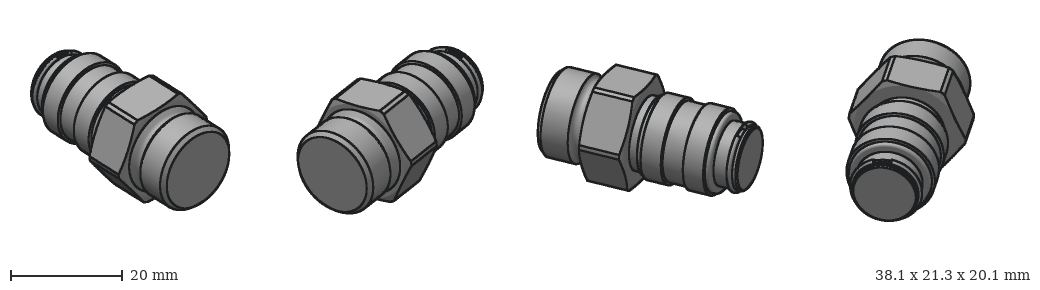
import cadquery as cq
import math

OVERALL_LENGTH = 38.15
GROOVE_START_X = 0.95
SHOULDER_X = 4.55
BAND_STARTS = (5.57, 13.8)
BAND_WIDTH = 4.25
COLLAR_END_X = 19.0
HEX_START_X = 20.6
HEX_WIDTH = 8.55
RELIEF_CENTER_X = 30.75
END_CHAMFER_LENGTH = 0.9

NOSE_LIP_DIAMETER = 12.0
NOSE_DIAMETER = 12.15
NOSE_FACE_DIAMETER = 11.4
SLEEVE_DIAMETER = 15.1
SLEEVE_EDGE_RADIUS = 0.5
NECK_DIAMETER = 14.0
BAND_DIAMETER = 16.15
THREAD_DIAMETER = 16.67
THREAD_END_DIAMETER = 15.1
RELIEF_FLOOR_DIAMETER = 14.6
RELIEF_RADIUS = 1.05

RING_WIDTH = 1.03
RING_OUTER_DIAMETER = 13.12
GROOVE_FLOOR_DIAMETER = 11.15
RING_GAP_ANGLE = 30.0
RING_GAP_CENTER = 83.7

HEX_ACROSS_FLATS = 19.0
HEX_CORNER_DIAMETER = 21.4
HEX_FACE_DIAMETER = 18.95
HEX_CHAMFER_LENGTH = 0.4
HEX_TILT = 7.2

BAND_TAPER = 75.0
RELIEF_ENTRY_ANGLE = 45.0
RELIEF_EXIT_ANGLE = 60.0

NOSE_RADIUS = NOSE_DIAMETER / 2
SLEEVE_RADIUS = SLEEVE_DIAMETER / 2
NECK_RADIUS = NECK_DIAMETER / 2
BAND_RADIUS = BAND_DIAMETER / 2
THREAD_RADIUS = THREAD_DIAMETER / 2
HEX_END_X = HEX_START_X + HEX_WIDTH


def revolve_about_x(profile):
    """Revolve a closed half profile, drawn in XY, fully around the X axis."""
    return profile.close().revolve(360, (0, 0, 0), (1, 0, 0))


def point_on_circle(center, radius, angle):
    """Point on a circle at an angle measured from +X."""
    turn = math.radians(angle)
    return (center[0] + radius * math.cos(turn), center[1] + radius * math.sin(turn))


def make_nose():
    """Nose with a chamfered lip, the ring groove and a plain stretch up to the sleeve."""
    lip_radius = NOSE_LIP_DIAMETER / 2
    face_radius = NOSE_FACE_DIAMETER / 2
    chamfer = lip_radius - face_radius
    floor_radius = GROOVE_FLOOR_DIAMETER / 2
    groove_end_x = GROOVE_START_X + RING_WIDTH
    profile = cq.Workplane("XY").polyline([
        (0, 0),
        (0, face_radius),
        (chamfer, lip_radius),
        (GROOVE_START_X, lip_radius),
        (GROOVE_START_X, floor_radius),
        (groove_end_x, floor_radius),
        (groove_end_x, NOSE_RADIUS),
        (SHOULDER_X, NOSE_RADIUS),
        (SHOULDER_X, 0),
    ])
    return revolve_about_x(profile)


def make_sleeve():
    """Sleeve with rounded ends, followed by the neck up to the hexagon."""
    sleeve = (
        cq.Workplane("YZ", origin=(SHOULDER_X, 0, 0))
        .circle(SLEEVE_RADIUS)
        .extrude(COLLAR_END_X - SHOULDER_X)
        .edges()
        .fillet(SLEEVE_EDGE_RADIUS)
    )
    neck = (
        cq.Workplane("YZ", origin=(COLLAR_END_X, 0, 0))
        .circle(NECK_RADIUS)
        .extrude(HEX_START_X - COLLAR_END_X)
    )
    return sleeve.union(neck)


def make_band(start_x):
    """Raised band with slightly tapered sides."""
    taper = (BAND_RADIUS - SLEEVE_RADIUS) / math.tan(math.radians(BAND_TAPER))
    end_x = start_x + BAND_WIDTH
    profile = cq.Workplane("XY").polyline([
        (start_x, 0),
        (start_x, SLEEVE_RADIUS),
        (start_x + taper, BAND_RADIUS),
        (end_x - taper, BAND_RADIUS),
        (end_x, SLEEVE_RADIUS),
        (end_x, 0),
    ])
    return revolve_about_x(profile)


def make_hexagon():
    """Hexagon with trimmed corners and conical chamfers on both ends."""
    corner_radius = HEX_CORNER_DIAMETER / 2
    face_radius = HEX_FACE_DIAMETER / 2
    across_corners = HEX_ACROSS_FLATS / math.cos(math.radians(30))
    prism = (
        cq.Workplane("YZ", origin=(HEX_START_X, 0, 0))
        .polygon(6, across_corners)
        .extrude(HEX_WIDTH)
        .rotate((0, 0, 0), (1, 0, 0), HEX_TILT)
    )
    envelope = cq.Workplane("XY").polyline([
        (HEX_START_X, 0),
        (HEX_START_X, face_radius),
        (HEX_START_X + HEX_CHAMFER_LENGTH, corner_radius),
        (HEX_END_X - HEX_CHAMFER_LENGTH, corner_radius),
        (HEX_END_X, face_radius),
        (HEX_END_X, 0),
    ])
    return prism.intersect(revolve_about_x(envelope))


def make_threaded_end():
    """Cone behind the hexagon, concave relief and chamfered thread cylinder."""
    arc_center = (RELIEF_CENTER_X, RELIEF_FLOOR_DIAMETER / 2 + RELIEF_RADIUS)
    arc_start = point_on_circle(arc_center, RELIEF_RADIUS, 270 - RELIEF_ENTRY_ANGLE)
    arc_bottom = point_on_circle(arc_center, RELIEF_RADIUS, 270)
    arc_end = point_on_circle(arc_center, RELIEF_RADIUS, 270 + RELIEF_EXIT_ANGLE)
    entry_rise = (arc_start[0] - HEX_END_X) * math.tan(math.radians(RELIEF_ENTRY_ANGLE))
    exit_run = (THREAD_RADIUS - arc_end[1]) / math.tan(math.radians(RELIEF_EXIT_ANGLE))
    profile = (
        cq.Workplane("XY")
        .moveTo(HEX_END_X, 0)
        .lineTo(HEX_END_X, arc_start[1] + entry_rise)
        .lineTo(*arc_start)
        .threePointArc(arc_bottom, arc_end)
        .lineTo(arc_end[0] + exit_run, THREAD_RADIUS)
        .lineTo(OVERALL_LENGTH - END_CHAMFER_LENGTH, THREAD_RADIUS)
        .lineTo(OVERALL_LENGTH, THREAD_END_DIAMETER / 2)
        .lineTo(OVERALL_LENGTH, 0)
    )
    return revolve_about_x(profile)


def make_housing():
    housing = make_nose().union(make_sleeve())
    for start_x in BAND_STARTS:
        housing = housing.union(make_band(start_x))
    return housing.union(make_hexagon()).union(make_threaded_end())


def make_snap_ring():
    """Split ring, turned about the X axis so that its gap is in the right place."""
    inner_radius = GROOVE_FLOOR_DIAMETER / 2
    outer_radius = RING_OUTER_DIAMETER / 2
    arc_foot_radius = outer_radius - RING_WIDTH / 2
    end_x = GROOVE_START_X + RING_WIDTH
    middle_x = GROOVE_START_X + RING_WIDTH / 2
    ring = (
        cq.Workplane("XY")
        .moveTo(GROOVE_START_X, inner_radius)
        .lineTo(GROOVE_START_X, arc_foot_radius)
        .threePointArc((middle_x, outer_radius), (end_x, arc_foot_radius))
        .lineTo(end_x, inner_radius)
        .close()
        .revolve(360 - RING_GAP_ANGLE, (0, 0, 0), (1, 0, 0))
    )
    return ring.rotate((0, 0, 0), (1, 0, 0), RING_GAP_CENTER + RING_GAP_ANGLE / 2)


housing = make_housing()
snap_ring = make_snap_ring()

result = cq.Compound.makeCompound([housing.val(), snap_ring.val()])